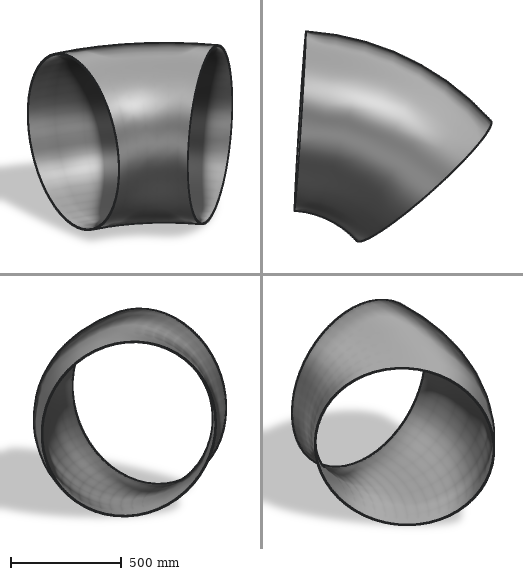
import cadquery as cq
import math

overall_length = 932.0
bend_angle = 45.0
wall = 5.0

outer_diameter = overall_length / (1.5 - 0.5 * math.cos(math.radians(bend_angle)))
bend_radius = outer_diameter
inner_diameter = outer_diameter - 2 * wall

pipe_section = cq.Workplane("XZ").circle(outer_diameter / 2).circle(inner_diameter / 2)
result = pipe_section.revolve(bend_angle, (bend_radius, 0, 0), (bend_radius, -1, 0))